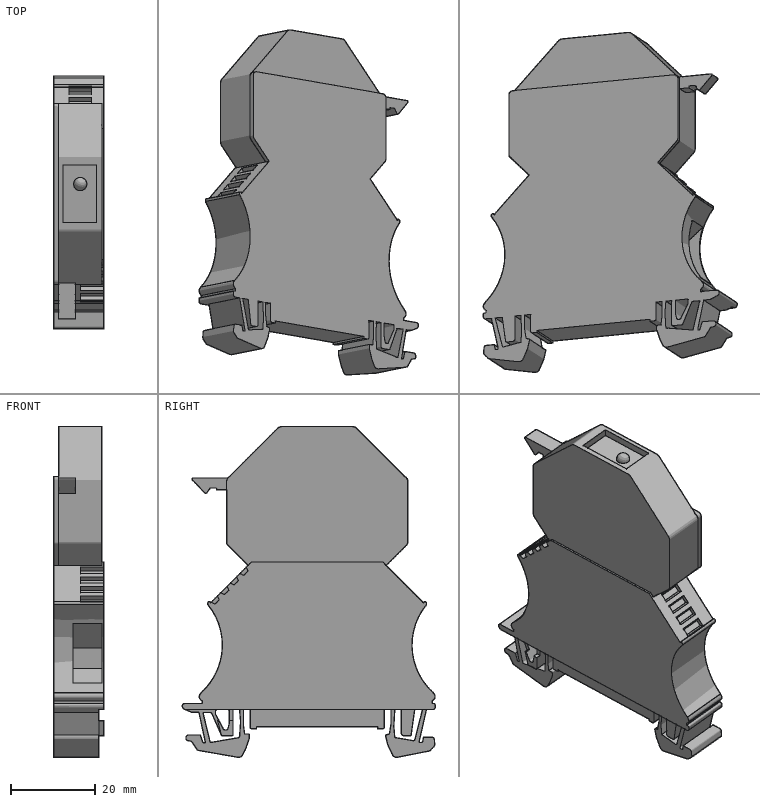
import cadquery as cq
import math


width = 11.9
plate_thickness = 1.2
hood_right = 11.45
rail_width = 10.75

half_depth = 21.5
total_height = 78.4

notch_y = 16.4
notch_z = 45.5
waist_z = notch_z + half_depth - notch_y
shoulder_y = 25.95
lip_top = 36.9
lip_width = 0.55
lip_root = 0.15
lip_round = 0.5

scoop_radius = 15.1
scoop_y = 37.6
scoop_z = 26.6

lip_height = 0.9
slot_top = 11.3
rail_face = 7.2
rail_pad_drop = 0.5
rail_pad_inner = 14.35
rail_pad_outer = 15.9


def rounded_outline(corners):
    """Closed wire in the YZ plane through (y, z, radius) corners; zero radius is sharp."""
    path = cq.Workplane("YZ")
    count = len(corners)
    for i, (y, z, radius) in enumerate(corners):
        before = corners[i - 1]
        after = corners[(i + 1) % count]
        corner = cq.Vector(y, z, 0)
        to_before = (cq.Vector(before[0], before[1], 0) - corner).normalized()
        to_after = (cq.Vector(after[0], after[1], 0) - corner).normalized()
        half_angle = to_before.getAngle(to_after) / 2
        setback = radius / math.tan(half_angle)
        start = corner + to_before * setback
        end = corner + to_after * setback
        if i == 0:
            path = path.moveTo(start.x, start.y)
        else:
            path = path.lineTo(start.x, start.y)
        if radius > 0:
            bisector = (to_before + to_after).normalized()
            middle = corner + bisector * (radius / math.sin(half_angle) - radius)
            path = path.threePointArc((middle.x, middle.y), (end.x, end.y))
    return path.close()


def slab(corners, x_start, x_end):
    """Outline extruded along X from x_start to x_end."""
    return rounded_outline(corners).extrude(x_end - x_start).translate((x_start, 0, 0))


def box(x_range, y_range, z_range):
    size = [end - start for start, end in (x_range, y_range, z_range)]
    corner = (x_range[0], y_range[0], z_range[0])
    return cq.Workplane("XY").box(*size, centered=False).translate(corner)


def mirrored(half):
    """Outline of a (y, z, radius) half on the -Y side, completed by its +Y mirror image."""
    return half + [(-y, z, radius) for y, z, radius in reversed(half)]


def main_block():
    housing_top = notch_z + lip_height
    top_y = notch_y - lip_height
    slope_end_y = shoulder_y - lip_width - lip_root
    slope_end_z = notch_z - (slope_end_y - notch_y)
    neck_y = 27.3
    half = [
        (-top_y, housing_top, 0),
        (-slope_end_y, slope_end_z, 0),
        (-shoulder_y + lip_width, lip_top, 0),
        (-shoulder_y, lip_top, lip_round),
        (-shoulder_y, 35.8, 0),
        (-27.5, 15.3, 0),
        (-28.3, 14.3, 0.95),
        (-neck_y, 13.3, 0),
        (-neck_y, slot_top, 0),
        (-rail_pad_outer, slot_top, 0),
        (-rail_pad_outer, rail_face - rail_pad_drop, 0.4),
        (-rail_pad_inner, rail_face - rail_pad_drop, 0),
        (-rail_pad_inner, rail_face, 0),
    ]
    block = slab(mirrored(half), 0, width)
    for side in (-1, 1):
        axis = cq.Workplane("YZ").center(side * scoop_y, scoop_z)
        block = block.cut(axis.circle(scoop_radius).extrude(width))
    hood_seat = box((0, hood_right), (-notch_y, notch_y), (notch_z, housing_top))
    return block.cut(hood_seat)


def side_plate():
    plate_top = 66.6
    corner_round = 1.0
    overlap = 0.8
    half = [
        (-half_depth, plate_top, corner_round),
        (-half_depth, waist_z, corner_round),
        (-notch_y, notch_z, 0),
        (-notch_y, notch_z - overlap, 0),
    ]
    return slab(mirrored(half), 0, plate_thickness)


ledge_top = 12.8
ledge_root = 23.5


def front_ledge():
    return slab(
        [
            (-ledge_root, ledge_top, 0),
            (-32.0, ledge_top, 0.6),
            (-32.0, 11.6, 0.8),
            (-29.8, 10.7, 0.4),
            (-23.9, 10.5, 0),
            (-ledge_root, slot_top, 0),
        ],
        0,
        width,
    )


def back_ledge():
    ledge_end = 28.0
    return slab(
        [
            (ledge_root, ledge_top, 0),
            (ledge_end, ledge_top, 0.4),
            (ledge_end, slot_top, 0.6),
            (ledge_root, slot_top, 0),
        ],
        0,
        width,
    )


clip_root = 12.15
post_bottom = 5.1


def front_foot():
    return [
        (-28.4, clip_root, 0),
        (-26.5, 3.45, 0.15),
        (-27.05, 3.45, 0.15),
        (-27.7, 5.3, 0),
        (-31.1, 5.3, 0.7),
        (-31.1, 4.0, 0.55),
        (-29.8, 3.8, 0.4),
        (-28.4, 1.65, 0.6),
        (-19.0, 0, 0.95),
        (-17.95, 0, 0.95),
        (-16.9, 1.95, 0),
        (-16.1, 4.5, 0.3),
        (-16.1, 5.6, 0.2),
        (-17.2, 5.6, 0),
        (-17.4, 7.3, 0),
        (-17.4, clip_root, 0),
    ]


def front_spring_opening():
    return [
        (-18.4, slot_top, 0),
        (-19.9, slot_top, 0),
        (-19.9, post_bottom, 0.3),
        (-22.65, post_bottom, 0.3),
        (-25.1, 10.6, 0.3),
        (-27.05, 10.6, 0.15),
        (-25.3, 3.5, 0.2),
        (-18.4, 4.7, 0.3),
        (-18.2, 8.5, 0),
    ]


def front_post_opening():
    return [
        (-20.85, slot_top, 0.3),
        (-24.1, slot_top, 0.3),
        (-24.1, 10.2, 0.15),
        (-22.1, 6.5, 0.4),
        (-21.25, 6.5, 0.4),
        (-20.85, 8.1, 0),
    ]


def back_foot():
    return [
        (26.1, clip_root, 0),
        (24.15, 3.5, 0.15),
        (24.9, 3.5, 0.2),
        (25.2, 4.8, 0),
        (27.75, 4.8, 0.6),
        (27.9, 2.75, 0.8),
        (26.65, 1.5, 0.4),
        (19.1, 0, 0.95),
        (18.1, 0, 0.95),
        (16.7, 3.0, 0),
        (16.15, 5.25, 0.2),
        (17.1, 5.6, 0),
        (17.5, 8.0, 0),
        (17.5, clip_root, 0),
    ]


def back_spring_opening():
    return [
        (24.9, slot_top, 0),
        (23.1, slot_top, 0.2),
        (22.3, post_bottom, 0.3),
        (19.9, post_bottom, 0.6),
        (19.9, slot_top, 0),
        (18.4, slot_top, 0),
        (18.2, 7.3, 0),
        (18.4, 4.7, 0),
        (23.05, 3.9, 0.3),
    ]


def front_post_stub():
    """End of the hollow front post, standing out to the full width of the housing."""
    stub_top = 8.7
    outer_top_y = 23.6
    profile = [
        (-19.9, stub_top, 0),
        (-outer_top_y, stub_top, 0),
        (-22.65, post_bottom, 0.3),
        (-19.9, post_bottom, 0.3),
    ]
    return slab(profile, rail_width, width).cut(slab(front_post_opening(), rail_width, width))


groove_count = 4
groove_pitch = 2.3
groove_first_z = 44.3
groove_mouth = 2.1
groove_floor = 1.4
groove_depth = 0.95
front_groove_x = (6.35, width)
back_groove_x = (3.6, 8.9)


def groove(side, centre_z, x_range):
    """Trapezoidal groove, centred at centre_z on the 45 degree slope of the given side."""
    centre = cq.Vector(side * (notch_y + notch_z - centre_z), centre_z, 0)
    outward = cq.Vector(side, 1, 0).normalized()
    along = cq.Vector(side, -1, 0).normalized()
    half_flare = (groove_mouth - groove_floor) / 2
    mouth = groove_mouth + 2 * half_flare
    section = [
        (groove_depth, -mouth / 2),
        (groove_depth, mouth / 2),
        (-groove_depth, groove_floor / 2),
        (-groove_depth, -groove_floor / 2),
    ]
    corners = []
    for height, offset in section:
        corner = centre + outward * height + along * offset
        corners.append((corner.x, corner.y, 0))
    return slab(corners, *x_range)


def wire_funnel():
    outside_y = -31.35
    back_y = -16.5
    mouth_bottom = 17.6
    mouth_top = 31.9
    funnel_x = (4.6, 11.45)
    return slab(
        [
            (-23.6, mouth_top, 0),
            (back_y, 25.95, 0),
            (back_y, 21.0, 0),
            (-25.25, mouth_bottom, 0),
            (outside_y, mouth_bottom, 0),
            (outside_y, mouth_top, 0),
        ],
        *funnel_x,
    )


def make_housing():
    body = main_block().union(side_plate()).union(front_ledge()).union(back_ledge())
    whole_depth = (-2 * half_depth, 2 * half_depth)
    body = body.cut(box((rail_width, width), whole_depth, (0, slot_top)))
    for foot in (front_foot(), back_foot()):
        body = body.union(slab(foot, 0, rail_width))
    for opening in (front_spring_opening(), front_post_opening(), back_spring_opening()):
        body = body.cut(slab(opening, 0, rail_width))
    body = body.union(front_post_stub())
    for i in range(groove_count):
        centre_z = groove_first_z - i * groove_pitch
        body = body.cut(groove(-1, centre_z, front_groove_x))
        body = body.cut(groove(1, centre_z, back_groove_x))
    return body.cut(wire_funnel())


hood_round = 1.4
roof_half_depth = 8.9
recess_x = (2.2, 10.2)
recess_half_depth = 6.8
recess_depth = 1.7
dome_radius = 1.6
dome_y = 2.35
latch_right = 5.2
latch_top = 66.25
latch_bottom = 63.35


def hood_shell():
    eave_z = total_height - (half_depth - roof_half_depth)
    half = [
        (-roof_half_depth, total_height, hood_round),
        (-half_depth, eave_z, hood_round),
        (-half_depth, waist_z, hood_round),
        (-notch_y, notch_z, 0),
    ]
    return slab(mirrored(half), plate_thickness, hood_right)


def latch():
    """Hooked finger reaching out from the front of the hood."""
    hook_throat = 63.8
    root_y = -half_depth + 0.8
    return slab(
        [
            (root_y, latch_top, 0),
            (root_y, latch_bottom, 0),
            (-23.8, latch_bottom, 0),
            (-23.8, hook_throat, 0.2),
            (-25.3, hook_throat, 0.2),
            (-26.35, 62.3, 0.4),
            (-30.1, latch_top, 0.3),
        ],
        plate_thickness,
        latch_right,
    )


def make_hood():
    recess_floor = total_height - recess_depth
    recess = box(recess_x, (-recess_half_depth, recess_half_depth), (recess_floor, total_height))
    dome_x = (plate_thickness + hood_right) / 2
    dome = cq.Workplane("XY").sphere(dome_radius).translate((dome_x, dome_y, recess_floor))
    return hood_shell().union(latch()).cut(recess).union(dome)


housing = make_housing()
hood = make_hood()

result = cq.Compound.makeCompound([housing.solids().val(), hood.solids().val()])